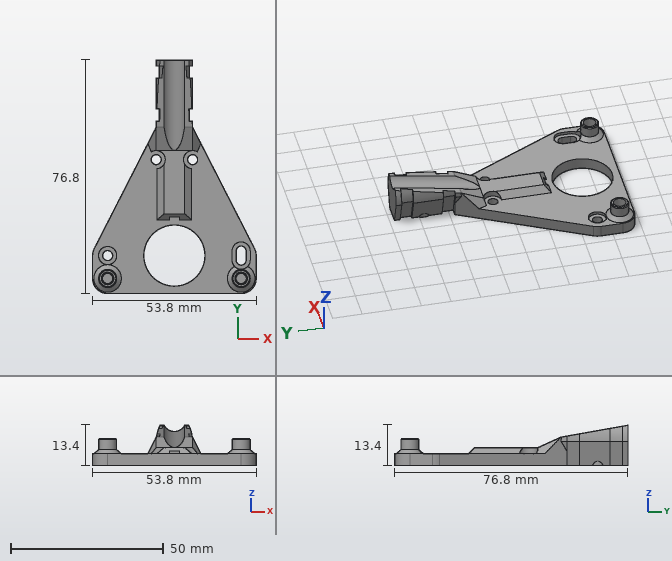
import cadquery as cq
import math

plate_length = 76.75
plate_half_width = 26.9
plate_thickness = 4.0
corner_radius = 5.0
corner_x = plate_half_width - corner_radius
shoulder_y = 12.5
window_diameter = 20.0

neck_half_width = 6.0
neck_start_y = 54.7
neck_end_height = 13.35
neck_start_height = 9.45
flank_straight_height = 8.0
neck_undercut = 2.45
flank_radius = 12.0
band_inset = 1.0
band_half_width = neck_half_width - band_inset
end_band = (70.8, 74.8)
inner_band = (56.7, 60.7)

trough_end_bottom = 11.3
trough_radius = 3.8

ridge_height = 6.0
ridge_front_y = 24.25
ridge_half_top = 3.4
ridge_half_base = 5.7
ramp_foot_y = 47.1
ridge_notch_width = 3.4
ridge_notch_depth = 0.9
flare_spread = 0.9

hole_diameter = 3.2
counterbore_diameter = 6.0
counterbore_depth = 1.0
slot_travel = 3.0
neck_hole_y = 44.05

peg_diameter = 6.0
peg_top = 8.9
peg_foot_radius = 4.5
peg_foot_height = 1.3
peg_chamfer = 0.3
peg_bore_top_radius = 2.1
peg_bore_bottom_radius = 1.7

pad_y = 66.8
pad_diameter = 8.0
pad_height = 2.0

top_slope = (neck_end_height - neck_start_height) / (plate_length - neck_start_y)
ramp_slope = (neck_start_height - ridge_height) / (neck_start_y - ramp_foot_y)
clearance = 15.35


def box(x_range, y_range, z_range):
    """Axis-aligned block between the given limits."""
    lows, highs = zip(x_range, y_range, z_range)
    sizes = [high - low for low, high in zip(lows, highs)]
    return cq.Workplane("XY").box(*sizes, centered=False).translate(lows)


def plate_prism(height):
    """Rounded base with flanks tangent to the shoulder arcs, narrowing to the neck."""
    run_x = corner_x - neck_half_width
    run_y = neck_start_y - shoulder_y
    normal_angle = math.atan2(run_y, -run_x) - math.acos(corner_radius / math.hypot(run_x, run_y))

    def shoulder_point(angle):
        return (
            corner_x + corner_radius * math.cos(angle),
            shoulder_y + corner_radius * math.sin(angle),
        )

    tangent = shoulder_point(normal_angle)
    middle = shoulder_point(normal_angle / 2)
    tip_y = inner_band[0]
    tip_x = neck_half_width - (tip_y - neck_start_y) * math.tan(normal_angle)
    diagonal = corner_radius * math.sqrt(0.5)
    return (
        cq.Workplane("XY")
        .moveTo(-corner_x, 0)
        .lineTo(corner_x, 0)
        .threePointArc((corner_x + diagonal, corner_radius - diagonal), (plate_half_width, corner_radius))
        .lineTo(plate_half_width, shoulder_y)
        .threePointArc(middle, tangent)
        .lineTo(tip_x, tip_y)
        .lineTo(-tip_x, tip_y)
        .lineTo(-tangent[0], tangent[1])
        .threePointArc((-middle[0], middle[1]), (-plate_half_width, shoulder_y))
        .lineTo(-plate_half_width, corner_radius)
        .threePointArc((-corner_x - diagonal, corner_radius - diagonal), (-corner_x, 0))
        .close()
        .extrude(height)
    )


def arched_bar(half_width, radius, y_start, y_end):
    """Bar whose flanks lean outward to the arch start, then curve inward."""
    def flank_x(z):
        return half_width - radius + math.sqrt(radius**2 - (z - flank_straight_height) ** 2)

    bottom = half_width - neck_undercut
    top = neck_end_height
    middle = (flank_straight_height + top) / 2
    return (
        cq.Workplane("XZ", origin=(0, y_end, 0))
        .moveTo(-bottom, 0)
        .lineTo(bottom, 0)
        .lineTo(half_width, flank_straight_height)
        .threePointArc((flank_x(middle), middle), (flank_x(top), top))
        .lineTo(-flank_x(top), top)
        .threePointArc((-flank_x(middle), middle), (-half_width, flank_straight_height))
        .close()
        .extrude(y_end - y_start)
    )


def neck():
    """Banded bar trimmed to its sloping top."""
    stations = [neck_start_y, *inner_band, *end_band, plate_length]
    bar = arched_bar(band_half_width, flank_radius - band_inset, neck_start_y, plate_length)
    for start, end in zip(stations[::2], stations[1::2]):
        bar = bar.union(arched_bar(neck_half_width, flank_radius, start, end))
    top_trim = (
        cq.Workplane("YZ")
        .polyline([
            (neck_start_y, neck_start_height),
            (plate_length, neck_end_height),
            (plate_length, neck_end_height + clearance),
            (neck_start_y, neck_end_height + clearance),
        ])
        .close()
        .extrude(clearance, both=True)
    )
    return bar.cut(top_trim)


def flared_ramp():
    """Ramp with flared sides, bounded by the flanks of the plate."""
    def section(y):
        top = neck_start_height - ramp_slope * (neck_start_y - y)
        foot = neck_half_width + flare_spread * (top - plate_thickness)
        corners = [
            (-foot, plate_thickness), (foot, plate_thickness),
            (neck_half_width, top), (-neck_half_width, top),
        ]
        return cq.Wire.makePolygon([cq.Vector(x, y, z) for x, z in corners], close=True)

    landing = box(
        (-neck_half_width, neck_half_width), (neck_hole_y, ramp_foot_y), (plate_thickness, ridge_height)
    )
    core = box(
        (-neck_half_width, neck_half_width), (neck_start_y, inner_band[0]), (0, neck_start_height)
    )
    ramp = cq.Workplane(cq.Solid.makeLoft([section(neck_hole_y), section(neck_start_y)], True))
    return ramp.union(landing).union(core).intersect(plate_prism(neck_end_height))


def ridge():
    """Bevelled ridge with a shallow notch in its front face."""
    height = ridge_height - plate_thickness
    bevelled_bar = (
        cq.Workplane("XZ", origin=(0, ramp_foot_y, 0))
        .polyline([
            (-ridge_half_base, plate_thickness),
            (ridge_half_base, plate_thickness),
            (ridge_half_top, ridge_height),
            (-ridge_half_top, ridge_height),
        ])
        .close()
        .extrude(ramp_foot_y - ridge_front_y)
    )
    front_bevel = (
        cq.Workplane("YZ")
        .polyline([
            (ridge_front_y, plate_thickness),
            (ridge_front_y + height, ridge_height),
            (ridge_front_y, ridge_height),
        ])
        .close()
        .extrude(clearance, both=True)
    )
    notch = box(
        (-ridge_notch_width / 2, ridge_notch_width / 2),
        (ridge_front_y, ridge_front_y + ridge_notch_depth),
        (plate_thickness, ridge_height),
    )
    return bevelled_bar.cut(front_bevel).cut(notch)


def trough():
    """Round channel parallel to the sloping neck top, open upward."""
    slope = math.atan(top_slope)
    axis = cq.Vector(0, -math.cos(slope), -math.sin(slope))
    centre_z = trough_end_bottom + trough_radius / math.cos(slope)
    start = cq.Vector(0, plate_length, centre_z) - axis * clearance
    length = plate_length - neck_hole_y + clearance
    return cq.Workplane(cq.Solid.makeCylinder(trough_radius, length, start, axis))


def peg(x):
    """Chamfered peg on a conical foot."""
    radius = peg_diameter / 2
    return (
        cq.Workplane("XZ")
        .polyline([
            (0, plate_thickness),
            (peg_foot_radius, plate_thickness),
            (radius, plate_thickness + peg_foot_height),
            (radius, peg_top - peg_chamfer),
            (radius - peg_chamfer, peg_top),
            (0, peg_top),
        ])
        .close()
        .revolve(360, (0, 0, 0), (0, 1, 0))
        .translate((x, corner_radius, 0))
    )


def upright_cone(x, y, z, bottom_radius, top_radius, height):
    return cq.Workplane(cq.Solid.makeCone(bottom_radius, top_radius, height, cq.Vector(x, y, z)))


def upright_slot(x, y, diameter, travel, z_low, z_high):
    """Round hole, or a slot along Y when travel is above zero."""
    sketch = cq.Workplane("XY", origin=(x, y, z_low))
    if travel > 0:
        sketch = sketch.slot2D(diameter + travel, diameter, 90)
    else:
        sketch = sketch.circle(diameter / 2)
    return sketch.extrude(z_high - z_low)


result = plate_prism(plate_thickness).union(neck()).union(flared_ramp())
result = result.cut(trough()).union(ridge())
result = result.cut(upright_slot(0, shoulder_y, window_diameter, 0, 0, plate_thickness))
result = result.union(upright_slot(0, pad_y, pad_diameter, 0, 0, pad_height))

for side in (-1, 1):
    peg_x = side * corner_x
    result = result.union(peg(peg_x))
    result = result.cut(upright_cone(
        peg_x, corner_radius, plate_thickness,
        peg_bore_bottom_radius, peg_bore_top_radius, peg_top - plate_thickness,
    ))

    travel = slot_travel if side > 0 else 0
    seat = plate_thickness - counterbore_depth
    foot_top = plate_thickness + peg_foot_height
    result = result.cut(upright_slot(peg_x, shoulder_y, hole_diameter, travel, 0, plate_thickness))
    result = result.cut(upright_slot(peg_x, shoulder_y, counterbore_diameter, travel, seat, foot_top))

    hole_x = side * neck_half_width
    result = result.cut(upright_slot(hole_x, neck_hole_y, hole_diameter, 0, 0, plate_thickness))
    result = result.cut(upright_slot(
        hole_x, neck_hole_y, counterbore_diameter, 0, plate_thickness, neck_end_height
    ))